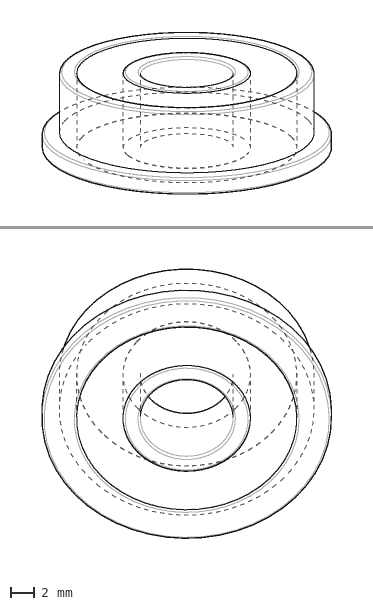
import cadquery as cq

width = 7.0
flange_diameter = 25.0
flange_thickness = 1.5
outer_diameter = 22.0
bore_diameter = 8.0

outer_ring_inner_diameter = 19.0
inner_ring_outer_diameter = 11.0

edge_radius = 0.2
shield_recess = 0.1
shield_thickness = width - 2 * shield_recess


def tube(outer, inner, height):
    """Plain tube standing on the XY plane, given its two diameters."""
    return cq.Workplane("XY").circle(outer / 2).circle(inner / 2).extrude(height)


def make_outer_ring():
    """Outer ring with its flange at the bottom, rounded on every convex rim."""
    barrel = tube(outer_diameter, outer_ring_inner_diameter, width)
    flange = tube(flange_diameter, outer_ring_inner_diameter, flange_thickness)
    ring = barrel.union(flange)
    flange_top_rim = cq.selectors.RadiusNthSelector(-1)
    return (
        ring.faces("<Z or >Z").edges().fillet(edge_radius)
        .faces(cq.selectors.NearestToPointSelector((0, 0, flange_thickness)))
        .edges(flange_top_rim).fillet(edge_radius)
    )


def make_inner_ring():
    """Inner ring around the bore, rounded on all four rims."""
    ring = tube(inner_ring_outer_diameter, bore_diameter, width)
    return ring.faces("<Z or >Z").edges().fillet(edge_radius)


def make_shield():
    """Annular filling between the rings, recessed at both ends."""
    shield = tube(outer_ring_inner_diameter, inner_ring_outer_diameter, shield_thickness)
    return shield.translate((0, 0, shield_recess))


outer_ring = make_outer_ring()
inner_ring = make_inner_ring()
shield = make_shield()

result = cq.Compound.makeCompound([outer_ring.val(), inner_ring.val(), shield.val()])